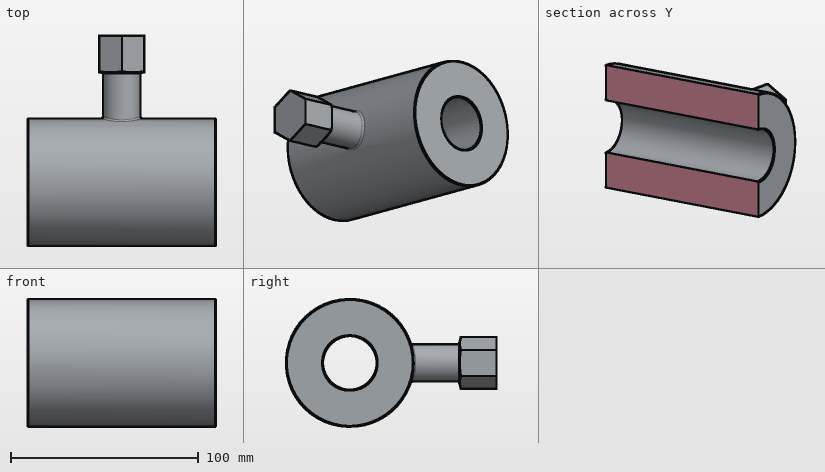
import cadquery as cq
import math

BODY_LENGTH = 100.0
BODY_DIAMETER = 68.0
BORE_DIAMETER = 28.5
EDGE_CHAMFER = 0.5

STEM_DIAMETER = 20.0
STEM_BLEND_RADIUS = 1.0

HEX_ACROSS_FLATS = 24.0
HEX_LENGTH = 20.0
HEX_BEVEL_ANGLE = 15.0
FITTING_REACH = 78.0

BODY_RADIUS = BODY_DIAMETER / 2
STEM_RADIUS = STEM_DIAMETER / 2
HEX_ACROSS_CORNERS = HEX_ACROSS_FLATS / math.cos(math.radians(30))
HEX_CORNER_RADIUS = HEX_ACROSS_CORNERS / 2
HEX_START = FITTING_REACH - HEX_LENGTH


def make_sleeve():
    """Solid cylinder along X, centred on the origin, with chamfered ends."""
    sleeve = cq.Workplane("YZ").circle(BODY_RADIUS).extrude(BODY_LENGTH / 2, both=True)
    return sleeve.edges("%CIRCLE").chamfer(EDGE_CHAMFER)


def add_stem(sleeve):
    """Round stem from the sleeve axis towards +Y, blended into the sleeve wall."""
    stem = cq.Workplane("XZ").circle(STEM_RADIUS).extrude(-HEX_START)
    joined = sleeve.union(stem)
    half_width = STEM_RADIUS + STEM_BLEND_RADIUS
    near_joint = cq.selectors.BoxSelector(
        (-half_width, 0, -half_width),
        (half_width, BODY_RADIUS + STEM_BLEND_RADIUS, half_width),
    )
    return joined.edges(near_joint).fillet(STEM_BLEND_RADIUS)


def make_hexagon():
    """Hexagonal end with corners at top and bottom, bevelled by a cone on the stem side."""
    prism = (
        cq.Workplane("XZ", origin=(0, HEX_START, 0))
        .transformed(rotate=(0, 0, 90))
        .polygon(6, HEX_ACROSS_CORNERS)
        .extrude(-HEX_LENGTH)
    )
    bevel_depth = (HEX_CORNER_RADIUS - STEM_RADIUS) * math.tan(math.radians(HEX_BEVEL_ANGLE))
    bevel_envelope = (
        cq.Workplane("XY")
        .moveTo(0, HEX_START)
        .lineTo(STEM_RADIUS, HEX_START)
        .lineTo(HEX_CORNER_RADIUS, HEX_START + bevel_depth)
        .lineTo(HEX_CORNER_RADIUS, FITTING_REACH)
        .lineTo(0, FITTING_REACH)
        .close()
        .revolve(360, (0, 0, 0), (0, 1, 0))
    )
    return prism.intersect(bevel_envelope)


def cut_bore(part):
    """Through bore along X, chamfered at both mouths."""
    bore = cq.Workplane("YZ").circle(BORE_DIAMETER / 2).extrude(BODY_LENGTH / 2, both=True)
    bored = part.cut(bore)
    smallest_circle = cq.selectors.RadiusNthSelector(0)
    for end_face in ("<X", ">X"):
        bored = bored.faces(end_face).edges(smallest_circle).chamfer(EDGE_CHAMFER)
    return bored


result = cut_bore(add_stem(make_sleeve()).union(make_hexagon()))